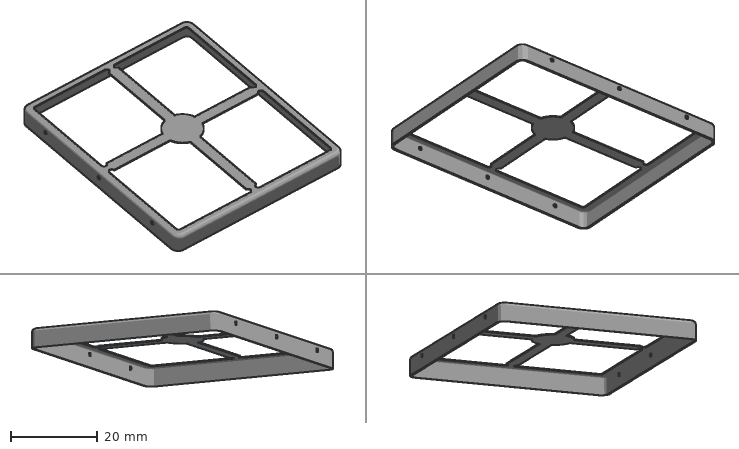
import cadquery as cq

length = 58.5
width = 49.7
height = 4.7
rim_width = 2.05
wall = 0.45
corner_radius = 2.05
inner_corner_radius = 0.6
top_edge_radius = 0.9
rim_thickness = 0.3

web_thickness = 0.3
rib_width = 2.9
hub_radius = 5.0
notch_radius = 0.7

hole_diameter = 0.9
hole_spacing = 20.0
hole_depth_from_top = 1.65

inner_length = length - 2 * rim_width
inner_width = width - 2 * rim_width
web_bottom = height - web_thickness


def make_frame():
    """Thin-walled open frame with a rounded top edge and an inward rim along the top."""
    body = cq.Workplane("XY").rect(length, width).extrude(height)
    body = body.edges("|Z").fillet(corner_radius)
    body = body.faces(">Z").edges().fillet(top_edge_radius)
    opening = cq.Workplane("XY").rect(inner_length, inner_width).extrude(height)
    opening = opening.edges("|Z").fillet(inner_corner_radius)
    cavity = cq.Workplane("XY").rect(length - 2 * wall, width - 2 * wall).extrude(height - rim_thickness)
    cavity = cavity.edges("|Z").fillet(corner_radius - wall)
    cavity = cavity.faces(">Z").edges().fillet(top_edge_radius - wall)
    return body.cut(opening).cut(cavity)


def make_web():
    """Crossing ribs and hub, with round notches thinning each rib beside the rim."""
    plane = cq.Workplane("XY").workplane(offset=web_bottom)
    web = plane.rect(length - rim_width - top_edge_radius, rib_width).extrude(web_thickness)
    web = web.union(plane.rect(rib_width, width - rim_width - top_edge_radius).extrude(web_thickness))
    web = web.union(plane.circle(hub_radius).extrude(web_thickness))

    notch_x = inner_length / 2 - notch_radius
    notch_y = inner_width / 2 - notch_radius
    rib_edge = rib_width / 2
    notch_centres = []
    for side_x in (-1, 1):
        for side_y in (-1, 1):
            notch_centres.append((side_x * notch_x, side_y * rib_edge))
            notch_centres.append((side_x * rib_edge, side_y * notch_y))
    notches = plane.pushPoints(notch_centres).circle(notch_radius).extrude(web_thickness)
    return web.cut(notches)


def make_wall_holes():
    """Row of three pins along Y that pierce both long walls."""
    hole_z = height - hole_depth_from_top
    centres = [(i * hole_spacing, hole_z) for i in (-1, 0, 1)]
    plane = cq.Workplane("XZ").pushPoints(centres)
    return plane.circle(hole_diameter / 2).extrude(width / 2, both=True)


result = make_frame().union(make_web()).cut(make_wall_holes())